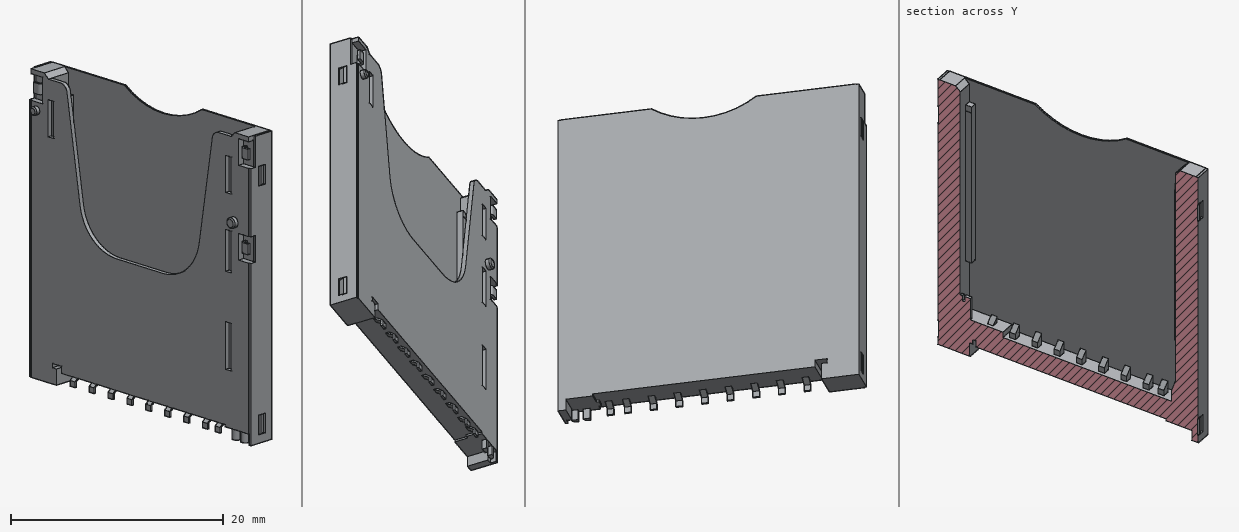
import cadquery as cq
import math

width = 29.3
height = 30.6
depth = 2.88
half_width = width / 2

side_sheet = 0.25
sheet_setback = 0.1
sheet_drop = 0.03
back_sheet = 0.18
front_wall = 0.45

base_z = 1.35
left_foot_width = 3.65
left_notch_end = 4.28
left_notch_top = 2.05
left_lip_start = 3.1
left_lip_z = 1.62
right_base_z = 1.13
right_base_start = 3.37
right_lug_width = 0.28
right_lug_y = (0.6, 1.53)
right_foot_width = 0.75
right_foot_setback = 0.7

cavity_half_width = half_width - 2.57
floor_z = 3.67
floor_step_x = -7.28
floor_step_height = 0.6
lead_in = 0.52
mouth_drop = 0.5

window_top_half_width = 9.73
window_bottom_half_width = 7.22
window_bottom_z = 14.4
window_top_radius = 0.85
window_bottom_radius = 4.9

thumb_x = 0.43
thumb_half_width = 5.1
thumb_depth = 1.6

slot_inset = 2.55
slot_width = 0.73
top_slot_z = (24.4, 28.05)
middle_slot_z = (16.6, 20.72)
bottom_slot_z = (6.85, 11.57)

rail_width = 0.67
rail_depth = 0.65
rail_z = (10.1, 27.4)
rail_tip_z = 28.05
rail_tip_depth = 0.6

lever_y = (0.92, 1.47)
lever_height = 2.45
left_lever_width = 1.13
right_lever_width = 0.45
right_lever_inner_height = 0.6
lever_groove_start = 0.25
lever_groove_width = 0.2
lever_groove_depth = 0.6

left_pocket_width = 1.77
right_pocket_width = 1.55
pocket_depth = 0.67
pocket_height = 2.63
top_pocket_z = 27.48
lower_pocket_z = 18.08
tab_height = 1.07
tab_rise = 0.8
tab_width = 0.98
tab_thickness = 0.28
tab_bend_radius = 0.37
left_tab_inset = 0.58
right_tab_inset = 0.35

peg_length = 0.52
peg_chamfer = 0.12
left_peg = (-13.65, 26.65, 0.85)
right_peg = (12.5, 21.7, 1.07)

latch_y = (1.13, 2.0)
latch_flat_end = 1.5
latch_recess = 0.05
latch_height = 1.93
latch_bottoms = (0.85, 25.52)

first_contact_x = -8.95
pitched_contacts = 8
pitched_span = 17.5
contact_pitch = pitched_span / (pitched_contacts - 1)
last_contact_x = 10.25
contact_width = 0.65
tail_tip_z = 0.3
tail_bend_z = 0.9
tail_y = 0.05
tail_thickness = 0.2
tail_reach = 0.75
arm_y = (1.5, 2.17)
arm_rise = 0.67

switch_tail_x = (12.2, 13.37)
switch_tail_z = 0.1
switch_tail_depth = 0.45
switch_tail_radius = 0.43

switch_contact_width = 0.9
switch_contact_y = (0.85, 1.22)
switch_contact_height = 0.45

overlap = 0.15


def box(x_range, y_range, z_range):
    low = (x_range[0], y_range[0], z_range[0])
    high = (x_range[1], y_range[1], z_range[1])
    size = [end - start for start, end in zip(low, high)]
    return cq.Workplane("XY").box(*size, centered=False).translate(low)


def side_box(side, insets, y_range, z_range):
    """Box placed by its distances in from the left (-1) or right (+1) outer side."""
    ends = sorted(side * (half_width - inset) for inset in insets)
    return box(ends, y_range, z_range)


def front_prism(points, y_range):
    """Extrude an X-Z outline over a range of depth."""
    length = y_range[1] - y_range[0]
    return cq.Workplane("XZ", origin=(0, y_range[0], 0)).polyline(points).close().extrude(-length)


def shell():
    left = -half_width
    right = half_width
    outline = [
        (left, height),
        (left, 0),
        (left + left_foot_width, 0),
        (left + left_foot_width, left_lip_z),
        (left + left_lip_start, left_lip_z),
        (left + left_lip_start, left_notch_top),
        (left + left_notch_end, left_notch_top),
        (left + left_notch_end, base_z),
        (right - right_base_start, base_z),
        (right - right_base_start, right_base_z),
        (right - right_foot_width, right_base_z),
        (right - right_foot_width, 0),
        (right, 0),
        (right, height),
    ]
    body = front_prism(outline, (0, depth))
    for side in (-1, 1):
        body = body.cut(side_box(side, (0, side_sheet), (0, sheet_setback), (0, height)))
        body = body.cut(side_box(side, (0, side_sheet), (0, depth), (height - sheet_drop, height)))
    foot_relief = side_box(1, (side_sheet, right_foot_width), (0, right_foot_setback), (0, right_base_z))
    lug_insets = (right_base_start - overlap, right_base_start + right_lug_width)
    lug = side_box(1, lug_insets, right_lug_y, (right_base_z, base_z + overlap))
    return body.cut(foot_relief).union(lug)


def cavity():
    half = cavity_half_width
    outline = [
        (-half, floor_z + floor_step_height),
        (floor_step_x, floor_z + floor_step_height),
        (floor_step_x, floor_z),
        (half, floor_z),
        (half, height - mouth_drop),
        (half + lead_in, height),
        (-half - lead_in, height),
        (-half, height - mouth_drop),
    ]
    return front_prism(outline, (front_wall, depth - back_sheet))


def mouth():
    half = cavity_half_width
    outline = [
        (-half - lead_in, height),
        (-half, height - mouth_drop),
        (half, height - mouth_drop),
        (half + lead_in, height),
    ]
    return front_prism(outline, (0, front_wall))


def finger_window():
    """Tapered window with rounded lower corners and flared rounded upper lips."""
    top_z = height - mouth_drop
    fall = top_z - window_bottom_z
    taper = math.atan2(window_top_half_width - window_bottom_half_width, fall)
    turn = math.pi / 2 - taper
    tangent_ratio = math.tan(turn / 2)

    def corner(corner_x, corner_z, radius, vertical):
        """Arc start on the horizontal edge, middle, and end on the tapered edge (right side)."""
        tangent = radius * tangent_ratio
        start = (corner_x + vertical * tangent, corner_z)
        centre_z = corner_z - vertical * radius
        middle = (start[0] - vertical * radius * math.sin(turn / 2),
                  centre_z + vertical * radius * math.cos(turn / 2))
        end = (start[0] - vertical * radius * math.sin(turn),
               centre_z + vertical * radius * math.cos(turn))
        return start, middle, end

    def mirrored(point):
        return (-point[0], point[1])

    lip = corner(window_top_half_width, top_z, window_top_radius, 1)
    low = corner(window_bottom_half_width, window_bottom_z, window_bottom_radius, -1)
    profile = cq.Workplane("XZ").moveTo(*lip[0]).threePointArc(lip[1], lip[2])
    profile = profile.lineTo(*low[2]).threePointArc(low[1], low[0])
    profile = profile.lineTo(*mirrored(low[0])).threePointArc(mirrored(low[1]), mirrored(low[2]))
    profile = profile.lineTo(*mirrored(lip[2])).threePointArc(mirrored(lip[1]), mirrored(lip[0]))
    return profile.close().extrude(-front_wall)


def thumb_cutout():
    profile = cq.Workplane("XZ", origin=(0, depth - back_sheet, 0))
    profile = profile.moveTo(thumb_x - thumb_half_width, height)
    profile = profile.threePointArc((thumb_x, height - thumb_depth), (thumb_x + thumb_half_width, height))
    return profile.close().extrude(-back_sheet)


def wall_slot(side, z_range):
    return side_box(side, (slot_inset, slot_inset + slot_width), (0, front_wall), z_range)


def rail(side):
    """Guide rail with a thinner tip at its upper end."""
    inset = half_width - cavity_half_width
    insets = (inset - overlap, inset + rail_width)
    cavity_back = depth - back_sheet
    back_face = cavity_back + back_sheet / 2
    guide = side_box(side, insets, (cavity_back - rail_depth, back_face), rail_z)
    tip = side_box(side, insets, (cavity_back - rail_tip_depth, back_face), (rail_z[0], rail_tip_z))
    return guide.union(tip)


def lever(side, lever_width, inner_height):
    """Lever on the cavity side wall; its top falls to inner_height at the inner edge."""
    wall = side * (cavity_half_width + overlap)
    inner = side * (cavity_half_width - lever_width)
    start_z = floor_z + floor_step_height
    outline = [
        (wall, floor_z - overlap),
        (inner, floor_z - overlap),
        (inner, start_z + inner_height),
        (wall, start_z + lever_height),
    ]
    return front_prism(outline, lever_y)


def left_lever_groove():
    start = half_width - cavity_half_width + lever_groove_start
    top_z = floor_z + floor_step_height + lever_height
    return side_box(-1, (start, start + lever_groove_width), lever_y, (top_z - lever_groove_depth, top_z))


def tab_pocket(side, bottom_z, pocket_width):
    z_range = (bottom_z, bottom_z + pocket_height)
    return side_box(side, (side_sheet, pocket_width), (0, pocket_depth), z_range)


def side_wall_trim(side, bottom_z):
    """Opening in the cover's side wall beside a pocket; a top pocket's opening runs to the top edge."""
    top_z = height if bottom_z == top_pocket_z else bottom_z + pocket_height
    return side_box(side, (0, side_sheet), (0, pocket_depth + sheet_drop), (bottom_z, top_z))


def solder_tab(side, bottom_z, inset):
    """Foot flush with the mounting face, bent round from a stem on the pocket floor."""
    z_range = (bottom_z + tab_rise, bottom_z + tab_rise + tab_height)
    end = inset + tab_width
    foot = side_box(side, (inset, end), (0, tab_thickness), z_range)
    stem = side_box(side, (end - tab_thickness, end), (0, pocket_depth + overlap), z_range)
    tab = foot.union(stem)
    return tab.edges("|Z and <Y").edges("<X" if side > 0 else ">X").fillet(tab_bend_radius)


def peg(x, z, diameter):
    pin = cq.Workplane("XZ", origin=(x, overlap, z)).circle(diameter / 2).extrude(peg_length + overlap)
    return pin.faces("<Y").chamfer(peg_chamfer)


def latch_window(side, bottom_z):
    """Opening in the side wall that leaves a ramped latch nose inside."""
    outer = side * half_width
    flat = side * (half_width - latch_recess)
    inner = side * (half_width - side_sheet)
    outline = [
        (outer, latch_y[0]),
        (flat, latch_y[0]),
        (flat, latch_flat_end),
        (inner, latch_y[1]),
        (outer, latch_y[1]),
    ]
    return cq.Workplane("XY", origin=(0, 0, bottom_z)).polyline(outline).close().extrude(latch_height)


def depth_prism(x, points):
    """Extrude a Y-Z outline over one contact width centred on x."""
    start = (x - contact_width / 2, 0, 0)
    return cq.Workplane("YZ", origin=start).polyline(points).close().extrude(contact_width)


def tail(x):
    bend_back = tail_y + tail_thickness
    return depth_prism(x, [
        (tail_y, tail_tip_z),
        (bend_back, tail_tip_z),
        (bend_back, tail_bend_z),
        (bend_back + tail_reach, base_z),
        (bend_back + tail_reach, base_z + overlap),
        (tail_y + tail_reach, base_z + overlap),
        (tail_y, tail_bend_z),
    ])


def contact_arm(x):
    """Contact wedge rising from the cavity floor, sloping up towards the back."""
    return depth_prism(x, [
        (arm_y[0], floor_z - overlap),
        (arm_y[1], floor_z - overlap),
        (arm_y[1], floor_z + floor_step_height + arm_rise),
        (arm_y[0], floor_z + floor_step_height),
    ])


def switch_tail(x):
    """Tail with a narrow flat front that curves back to its right edge."""
    blade = box((x, x + contact_width), (0, switch_tail_depth), (switch_tail_z, right_base_z + overlap))
    return blade.edges("|Z and <Y and >X").fillet(switch_tail_radius)


def switch_contact():
    start = -half_width + left_lip_start
    z_range = (left_lip_z - overlap / 2, left_lip_z + switch_contact_height)
    return box((start, start + switch_contact_width), switch_contact_y, z_range)


contact_xs = [first_contact_x + contact_pitch * i for i in range(pitched_contacts)] + [last_contact_x]
slots = [(-1, top_slot_z), (1, top_slot_z), (1, middle_slot_z), (1, bottom_slot_z)]
tabs = [
    (-1, top_pocket_z, left_pocket_width, left_tab_inset),
    (1, top_pocket_z, right_pocket_width, right_tab_inset),
    (1, lower_pocket_z, right_pocket_width, right_tab_inset),
]

result = shell().cut(cavity()).cut(mouth()).cut(finger_window()).cut(thumb_cutout())

for slot_side, slot_z in slots:
    result = result.cut(wall_slot(slot_side, slot_z))

for tab_side, tab_z, tab_pocket_width, tab_inset in tabs:
    result = result.cut(tab_pocket(tab_side, tab_z, tab_pocket_width))
    result = result.cut(side_wall_trim(tab_side, tab_z))
    result = result.union(solder_tab(tab_side, tab_z, tab_inset))

for body_side in (-1, 1):
    result = result.union(rail(body_side))
    for latch_z in latch_bottoms:
        result = result.cut(latch_window(body_side, latch_z))

result = result.union(lever(-1, left_lever_width, lever_height))
result = result.cut(left_lever_groove())
result = result.union(lever(1, right_lever_width, right_lever_inner_height))
result = result.union(peg(*left_peg)).union(peg(*right_peg))

for contact_x in contact_xs:
    result = result.union(tail(contact_x)).union(contact_arm(contact_x))

for tail_x in switch_tail_x:
    result = result.union(switch_tail(tail_x))

result = result.union(switch_contact())